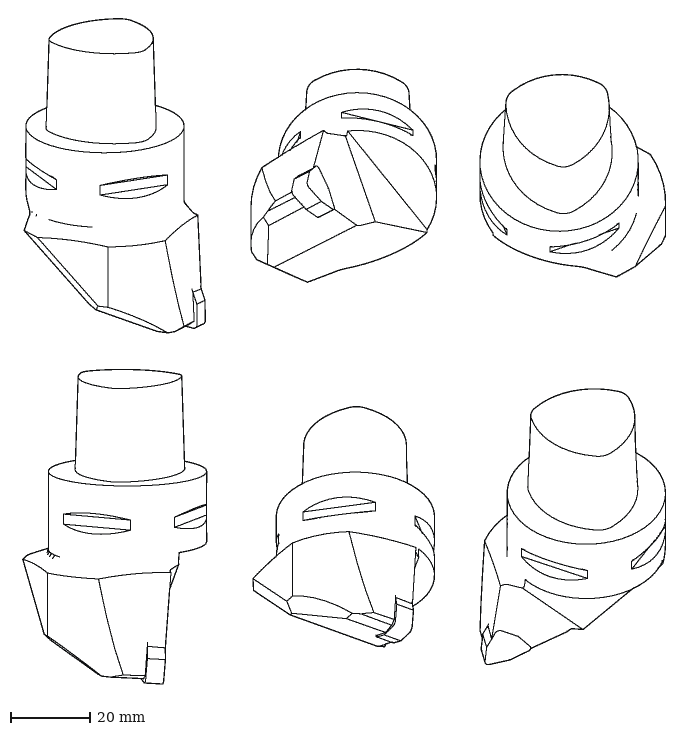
import cadquery as cq
import math

FLANGE_RADIUS = 40.0 / 2
FLANGE_BOTTOM = -18.05
SHANK_HEIGHT = 23.9
LOBE_RADIUS = 5.2
LOBE_OFFSET = 9.85
FLANK_RADIUS = 22.7
SHANK_DRAW_IN = 0.75

SLOT_FLOOR = 17.7
SLOT_CENTRE_Z = -10.1
SLOT_FLOOR_HEIGHT = 2.6
SLOT_MOUTH_HEIGHT = 5.25

HEAD_RADIUS = 26.9
NECK_BOTTOM = -20.05
CONE_TOP = (20.8, -21.1)
CONE_RIM_Z = -22.8
HEAD_BOTTOM = -55.5
FRONT_Y = -24.95
BACK_ANGLE = 45.0
BACK_START_Z = -16.05

RAKE_LEAN = 0.1
RAKE_NORMAL = (RAKE_LEAN, 1, -RAKE_LEAN)
UPPER_RAKE_POINT = (3.1, 6.8, -39.1)
LOWER_RAKE_POINT = (6.2, 3.0, -42.2)
STEP_NORMAL = (1, 1.1, -0.9)
STEP_FILLET = 1.5

INSERT_INRADIUS = 4.8
SHARP_ANGLE = 80.0
BLUNT_ANGLE = 160.0
INSERT_X = 22.0
INSERT_Z = -44.85
INSERT_TURN = -46.4
INSERT_THICKNESS = 4.7
NOSE_RADIUS = 1.1

CUTTER_SIZE = 222.0


def half_space(point, normal):
    """Large block whose face passes through point, on the side that normal points to."""
    plane = cq.Plane(origin=point, normal=normal)
    return cq.Workplane(plane).rect(CUTTER_SIZE, CUTTER_SIZE).extrude(CUTTER_SIZE)


def polar(radius, degrees, centre=(0, 0)):
    angle = math.radians(degrees)
    return (centre[0] + radius * math.cos(angle), centre[1] + radius * math.sin(angle))


def rake_y(x, z):
    """Height in Y of the lower rake face at x and z."""
    x0, y0, z0 = LOWER_RAKE_POINT
    return y0 - RAKE_LEAN * (x - x0) + RAKE_LEAN * (z - z0)


def make_shank():
    """Tapered three-lobed polygon made of tangent lobe and flank arcs."""
    lobe_angles = (90, 210, 330)
    first_centre = polar(LOBE_OFFSET, lobe_angles[0])
    outline = cq.Workplane("XY").moveTo(*polar(LOBE_RADIUS, lobe_angles[0] - 30, first_centre))
    for angle in lobe_angles:
        centre = polar(LOBE_OFFSET, angle)
        next_centre = polar(LOBE_OFFSET, angle + 120)
        lobe_end = polar(LOBE_RADIUS, angle + 30, centre)
        flank_middle = polar(FLANK_RADIUS - LOBE_OFFSET, angle + 60)
        flank_end = polar(LOBE_RADIUS, angle + 90, next_centre)
        outline = outline.threePointArc(polar(LOBE_OFFSET + LOBE_RADIUS, angle), lobe_end)
        outline = outline.threePointArc(flank_middle, flank_end)
    taper = math.degrees(math.atan(SHANK_DRAW_IN / SHANK_HEIGHT))
    return outline.close().extrude(SHANK_HEIGHT, taper=taper)


def make_turned_body():
    """Flange, filleted neck, conical shoulder and round head in one revolution."""
    return (
        cq.Workplane("XZ")
        .lineTo(FLANGE_RADIUS, 0)
        .lineTo(FLANGE_RADIUS, NECK_BOTTOM)
        .tangentArcPoint(CONE_TOP, relative=False)
        .lineTo(HEAD_RADIUS, CONE_RIM_Z)
        .lineTo(HEAD_RADIUS, HEAD_BOTTOM)
        .lineTo(0, HEAD_BOTTOM)
        .close()
        .revolve(360, (0, 0, 0), (0, 1, 0))
    )


def make_slot(angle):
    mouth = FLANGE_RADIUS
    floor_half = SLOT_FLOOR_HEIGHT / 2
    mouth_half = SLOT_MOUTH_HEIGHT / 2
    section = [
        (SLOT_FLOOR, SLOT_CENTRE_Z - floor_half),
        (mouth, SLOT_CENTRE_Z - mouth_half),
        (mouth, SLOT_CENTRE_Z + mouth_half),
        (SLOT_FLOOR, SLOT_CENTRE_Z + floor_half),
    ]
    slot = cq.Workplane("XZ").polyline(section).close().extrude(FLANGE_RADIUS, both=True)
    return slot.rotate((0, 0, 0), (0, 0, 1), angle)


def make_rake_cuts():
    """Two spaces below the flange, in front of the upper and the lower rake face."""
    below_flange = half_space((0, 0, FLANGE_BOTTOM), (0, 0, -1))
    upper = half_space(UPPER_RAKE_POINT, RAKE_NORMAL)
    lower = half_space(LOWER_RAKE_POINT, RAKE_NORMAL).intersect(
        half_space(UPPER_RAKE_POINT, STEP_NORMAL)
    )
    step_direction = cq.Vector(*RAKE_NORMAL).cross(cq.Vector(*STEP_NORMAL))
    step_foot = lower.edges(cq.selectors.ParallelDirSelector(step_direction))
    step_foot = step_foot.edges(cq.selectors.NearestToPointSelector(LOWER_RAKE_POINT))
    lower = step_foot.fillet(STEP_FILLET)
    return below_flange.intersect(upper), below_flange.intersect(lower)


def make_insert():
    """Trigon prism with its top flush with the lower rake face."""
    sharp_radius = INSERT_INRADIUS / math.sin(math.radians(SHARP_ANGLE / 2))
    blunt_radius = INSERT_INRADIUS / math.sin(math.radians(BLUNT_ANGLE / 2))
    corners = []
    for turn in (0, 120, 240):
        corners.append(polar(sharp_radius, INSERT_TURN + turn))
        corners.append(polar(blunt_radius, INSERT_TURN + turn + 60))
    centre = (INSERT_X, rake_y(INSERT_X, INSERT_Z), INSERT_Z)
    into_head = tuple(-part for part in RAKE_NORMAL)
    plane = cq.Plane(origin=centre, xDir=(1, -RAKE_LEAN, 0), normal=into_head)
    prism = cq.Workplane(plane).polyline(corners).close().extrude(INSERT_THICKNESS)
    edges = prism.edges(cq.selectors.ParallelDirSelector(cq.Vector(*RAKE_NORMAL)))
    sharp_edges = [
        edge for edge in edges.vals()
        if edge.Center().sub(prism.val().Center()).Length > (sharp_radius + blunt_radius) / 2
    ]
    return prism.newObject(sharp_edges).fillet(NOSE_RADIUS)


BACK_SLOPE = math.tan(math.radians(BACK_ANGLE))
HEAD_FACES = {
    "front": ((0, FRONT_Y, 0), (0, -1, 0)),
    "back": ((-FLANGE_RADIUS, 0, BACK_START_Z), (-1, 0, -BACK_SLOPE)),
    "back corner": ((-8.9, FRONT_Y, -22.65), (-4.1, -6.0, -4.1)),
    "right flank": ((23.8, 2.95, -22.2), (1, -0.1, 0.1)),
    "front underside": ((0, FRONT_Y, -39.0), (0, -0.86, -1)),
    "sloping underside": ((6.2, 3.0, -42.2), (-0.47, -0.043, -1)),
    "end underside": ((22.2, -14.9, -47.7), (0, -0.093, -1)),
    "nose chamfer": ((24.9, -2.95, -48.55), (0.8, -0.16, -1)),
}


def make_holder(insert):
    body = make_turned_body()
    for point, normal in HEAD_FACES.values():
        body = body.cut(half_space(point, normal))
    for cut in make_rake_cuts():
        body = body.cut(cut)
    for angle in (45, 135, 225, 315):
        body = body.cut(make_slot(angle))
    return body.union(make_shank()).cut(insert)


insert = make_insert()
holder = make_holder(insert)
result = cq.Compound.makeCompound([holder.val(), insert.val()])